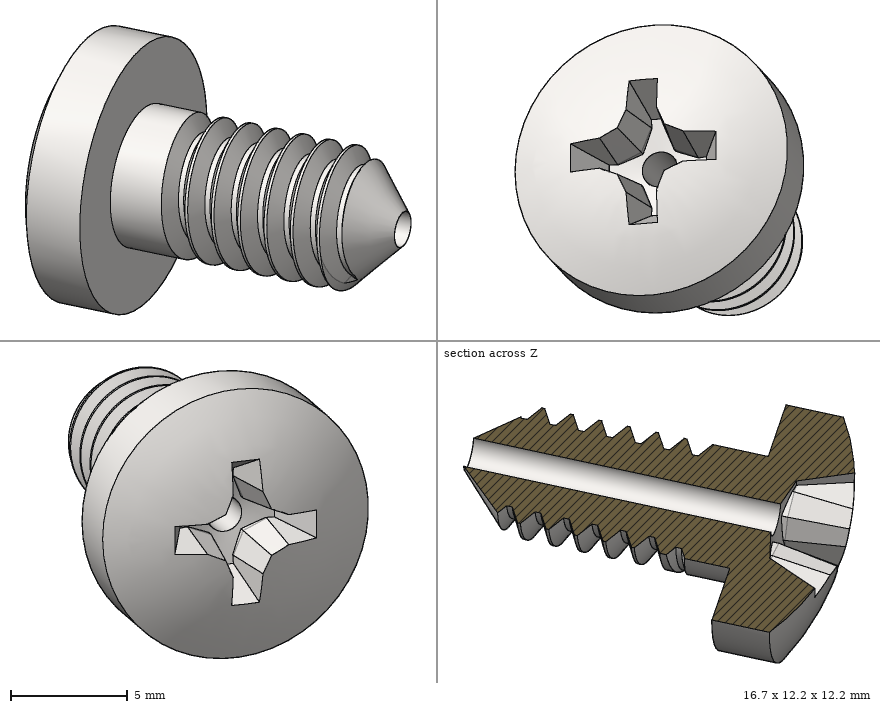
import cadquery as cq
import math

length = 16.71

head_radius = 6.1
dome_apex = -0.1
dome_edge = 1.64
head_end = 4.21

shank_radius = 3.17
tip_radius = 0.8
tip_length = shank_radius - tip_radius
bore_radius = 0.79

pitch = 1.27
groove_depth = 0.77
groove_root_width = 0.25
flank_angle = 30.0
groove_origin = 6.62
full_depth_start = 32.0
full_turns = 6
full_depth_end = full_turns * 360 + 235.0
run_out_angle = 90.0
run_out_steps = 6
cutter_margin = 0.17

recess_mouth = -0.17
recess_floor = 2.67
mouth_sizes = (3.51, 0.72, 1.87, 1.07)
floor_sizes = (2.17, 0.28, 1.8, 0.74)
floor_drop = 0.33

axis_frame = cq.Location(cq.Plane.named("YZ"))


def make_body():
    """Domed head, shank and pointed tip as one turned profile."""
    dome_height = dome_edge - dome_apex
    dome_radius = (head_radius**2 + dome_height**2) / (2 * dome_height)
    mid_radius = head_radius / 2
    mid_x = dome_apex + dome_radius - math.sqrt(dome_radius**2 - mid_radius**2)
    return (
        cq.Workplane("XY")
        .moveTo(dome_apex, 0)
        .threePointArc((mid_x, mid_radius), (dome_edge, head_radius))
        .lineTo(head_end, head_radius)
        .lineTo(head_end, shank_radius)
        .lineTo(length - tip_length, shank_radius)
        .lineTo(length, tip_radius)
        .lineTo(length, 0)
        .close()
        .revolve(360, (0, 0, 0), (1, 0, 0))
    )


def groove_section(angle, lift):
    """Trapezoidal groove outline in the axial plane at an angle, raised by lift."""
    root_half = groove_root_width / 2
    cutter_height = groove_depth + cutter_margin
    mouth_half = root_half + cutter_height * math.tan(math.radians(flank_angle))
    inner = shank_radius - groove_depth + lift
    outer = inner + cutter_height
    centre = groove_origin + pitch * angle / 360
    corners = [(inner, -root_half), (outer, -mouth_half), (outer, mouth_half), (inner, root_half)]
    turn = math.radians(angle)
    points = [
        cq.Vector(radius * math.cos(turn), radius * math.sin(turn), centre + offset)
        for radius, offset in corners
    ]
    return cq.Wire.makePolygon(points, close=True)


def make_groove():
    """Full-depth part of the thread groove."""
    turns = (full_depth_end - full_depth_start) / 360
    start_x = groove_origin + pitch * full_depth_start / 360
    helix = cq.Wire.makeHelix(pitch, pitch * turns, shank_radius)
    helix = helix.rotate(cq.Vector(), cq.Vector(0, 0, 1), full_depth_start)
    helix = helix.translate(cq.Vector(0, 0, start_x))
    section = groove_section(full_depth_start, 0)
    return cq.Solid.sweep(section, [], helix, True, True).moved(axis_frame)


def make_run_out(full_angle, direction):
    """Groove end that rises out of the shank over a quarter turn."""
    sections = []
    for step in range(run_out_steps + 1):
        fraction = step / run_out_steps
        angle = full_angle + direction * run_out_angle * fraction
        sections.append(groove_section(angle, groove_depth * fraction))
    return cq.Solid.makeLoft(sections).moved(axis_frame)


def cross_outline(arm_tip, arm_half, knee, corner):
    """Points of a four-armed cross with a bevelled inner corner between arms."""
    quarter = [
        (arm_tip, -arm_half),
        (arm_tip, arm_half),
        (knee, arm_half),
        (corner, corner),
        (arm_half, knee),
    ]
    points = []
    for _ in range(4):
        points += quarter
        quarter = [(-y, x) for x, y in quarter]
    return points


def make_recess():
    """Tapered cross with a shallow conical floor."""
    taper = (
        cq.Workplane("YZ", origin=(recess_mouth, 0, 0))
        .polyline(cross_outline(*mouth_sizes)).close()
        .workplane(offset=recess_floor - recess_mouth)
        .polyline(cross_outline(*floor_sizes)).close()
        .loft(ruled=True)
    )
    floor_prism = (
        cq.Workplane("YZ", origin=(recess_floor, 0, 0))
        .polyline(cross_outline(*floor_sizes)).close()
        .extrude(floor_drop)
    )
    arm_tip, arm_half, _, _ = floor_sizes
    floor_reach = math.hypot(arm_tip, arm_half)
    floor_cone = cq.Workplane(
        cq.Solid.makeCone(
            floor_reach, bore_radius, floor_drop, cq.Vector(recess_floor, 0, 0), cq.Vector(1, 0, 0)
        )
    )
    return taper.union(floor_prism.intersect(floor_cone))


def make_bore():
    """Axial hole through the whole screw."""
    return cq.Workplane("YZ", origin=(dome_apex, 0, 0)).circle(bore_radius).extrude(length - dome_apex)


result = make_body()
result = result.cut(cq.Workplane(make_groove()))
result = result.cut(cq.Workplane(make_run_out(full_depth_start, -1)))
result = result.cut(cq.Workplane(make_run_out(full_depth_end, 1)))
result = result.cut(make_recess())
result = result.cut(make_bore())